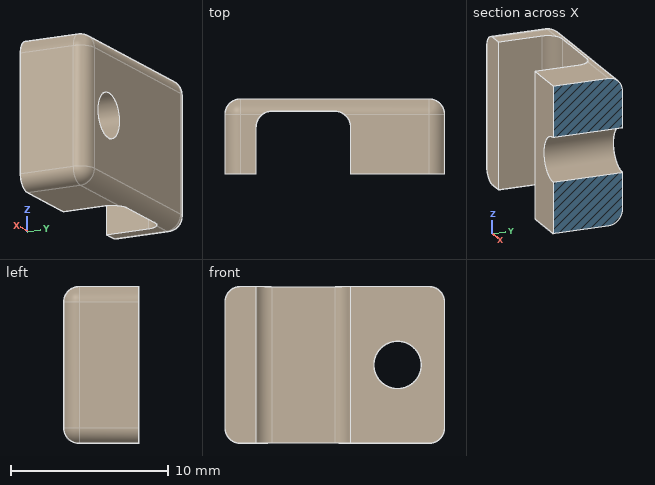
import cadquery as cq

WIDTH = 14.0
DEPTH = 4.8
HEIGHT = 10.0
EDGE_RADIUS = 1.0

LEFT_WALL = 2.0
CHANNEL_WIDTH = 6.0
BACK_WALL = 0.8
CHANNEL_RADIUS = 1.0
CHANNEL_DEPTH = DEPTH - BACK_WALL

HOLE_DIAMETER = 3.0
PAD_LEFT = LEFT_WALL + CHANNEL_WIDTH
HOLE_X = (PAD_LEFT + WIDTH) / 2
HOLE_Z = HEIGHT / 2


def rounded_block():
    """Block with rounded depth-wise corners and a rounded back rim."""
    block = cq.Workplane("XY").box(WIDTH, DEPTH, HEIGHT, centered=False)
    return block.edges("|Y or >Y").fillet(EDGE_RADIUS)


def channel():
    """Full-height channel with its two inner corners rounded."""
    cutter = cq.Workplane("XY").box(CHANNEL_WIDTH, CHANNEL_DEPTH, HEIGHT, centered=False)
    cutter = cutter.edges("|Z and >Y").fillet(CHANNEL_RADIUS)
    return cutter.translate((LEFT_WALL, 0, 0))


def screw_hole():
    """Cylinder running through the pad from front to back."""
    return (
        cq.Workplane("XZ")
        .center(HOLE_X, HOLE_Z)
        .circle(HOLE_DIAMETER / 2)
        .extrude(-DEPTH)
    )


result = rounded_block().cut(channel()).cut(screw_hole())